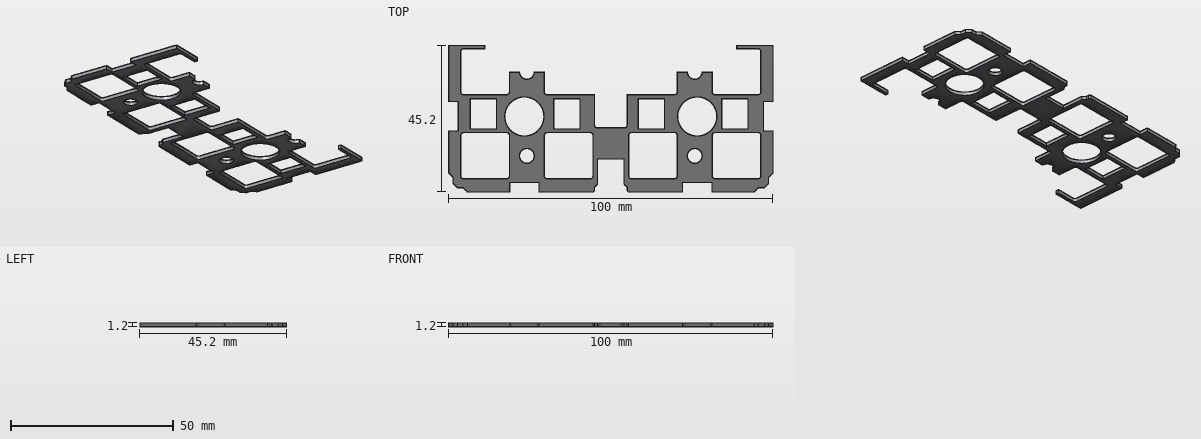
import cadquery as cq

length = 100.0
depth = 45.25
thickness = 1.2
half_length = length / 2

spine_x = 25.875
spine_width = 10.85
window_width = 14.9
window_height = 14.15
window_radius = 0.75
window_y = 4.2
rail_width = 1.05

pin_diameter = 4.5
pin_y = 11.2
seat_y = 37.1

opening_x = 26.65
opening_diameter = 12.0
opening_y = 23.35
side_opening_width = 8.0
side_opening_height = 9.3
side_opening_y = 24.15
side_opening_spacing = 25.75
side_opening_shift = 0.525

spine_end_y = 37.0
web_y = 30.1
rail_end_x = 38.8
inner_edge_x = 5.0
bridge_back_y = 19.9
bridge_front_y = 10.2
bridge_slot_half_width = 4.05
side_notch_depth = 2.9
side_notch_width = 9.0
side_notch_y = 23.45
front_notch_width = 9.0
front_notch_depth = 3.0

outer_corner_start_y = 5.9
outer_step = 1.35
outer_corner_length = 5.85
inner_step = 1.0
inner_corner_y = 2.5
inner_foot_chamfer = 0.5

spine_outer_x = spine_x + spine_width / 2
spine_inner_x = spine_x - spine_width / 2
window_outer_x = spine_outer_x + window_width
rail_y = depth - rail_width
notch_floor_x = half_length - side_notch_depth
notch_front_y = side_notch_y - side_notch_width / 2
notch_back_y = side_notch_y + side_notch_width / 2


def half_outline():
    """Outline of the +X half, counterclockwise from the front of the bridge on the centre plane."""
    step_x = half_length - outer_step
    inner_foot_x = inner_edge_x + inner_foot_chamfer
    outer_foot_x = half_length - outer_corner_length
    return [
        (0, bridge_front_y),
        (bridge_slot_half_width, bridge_front_y),
        (bridge_slot_half_width, inner_corner_y),
        (inner_edge_x, inner_corner_y - inner_step),
        (inner_edge_x, inner_foot_chamfer),
        (inner_foot_x, 0),
        (outer_foot_x, 0),
        (outer_foot_x + outer_step, outer_step),
        (step_x - outer_step, outer_step),
        (step_x, 2 * outer_step),
        (step_x, outer_corner_start_y - outer_step),
        (half_length, outer_corner_start_y),
        (half_length, notch_front_y),
        (notch_floor_x, notch_front_y),
        (notch_floor_x, notch_back_y),
        (half_length, notch_back_y),
        (half_length, depth),
        (rail_end_x, depth),
        (rail_end_x, rail_y),
        (window_outer_x, rail_y),
        (window_outer_x, web_y),
        (spine_outer_x, web_y),
        (spine_outer_x, spine_end_y),
        (spine_inner_x, spine_end_y),
        (spine_inner_x, web_y),
        (inner_edge_x, web_y),
        (inner_edge_x, bridge_back_y),
        (0, bridge_back_y),
    ]


def cutter(points):
    """Workplane on the underside with the given centres, ready for a cutting profile."""
    return cq.Workplane("XY").pushPoints(points)


def round_inside_corners(body):
    """Fillet the concave outline corners at the open windows and the bridge."""
    corners = [
        (window_outer_x, rail_y),
        (window_outer_x, web_y),
        (spine_outer_x, web_y),
        (spine_inner_x, web_y),
        (inner_edge_x, bridge_back_y),
    ]
    for x, y in corners:
        edge = cq.selectors.NearestToPointSelector((x, y, thickness / 2))
        body = body.edges("|Z").edges(edge).fillet(window_radius)
    return body


def switch_windows():
    offset = (spine_width + window_width) / 2
    centre_y = window_y + window_height / 2
    places = [(spine_x + side * offset, centre_y) for side in (-1, 1)]
    windows = cutter(places).rect(window_width, window_height).extrude(thickness)
    return windows.edges("|Z").fillet(window_radius)


def side_openings():
    """Openings of both halves, each pair shifted the same way off its spine."""
    places = [
        (half * spine_x - side_opening_shift + side * side_opening_spacing / 2, side_opening_y)
        for half in (-1, 1)
        for side in (-1, 1)
    ]
    return cutter(places).rect(side_opening_width, side_opening_height).extrude(thickness)


def round_openings():
    pins = cutter([(spine_x, pin_y), (spine_x, seat_y)]).circle(pin_diameter / 2).extrude(thickness)
    opening = cutter([(opening_x, opening_y)]).circle(opening_diameter / 2).extrude(thickness)
    return pins.union(opening)


def front_notch():
    return cutter([(opening_x, 0)]).rect(front_notch_width, 2 * front_notch_depth).extrude(thickness)


def half_plate():
    body = cq.Workplane("XY").polyline(half_outline()).close().extrude(thickness)
    body = round_inside_corners(body)
    for cut in (switch_windows(), round_openings(), front_notch()):
        body = body.cut(cut)
    return body


right_half = half_plate()
result = right_half.union(right_half.mirror("YZ")).clean().cut(side_openings())